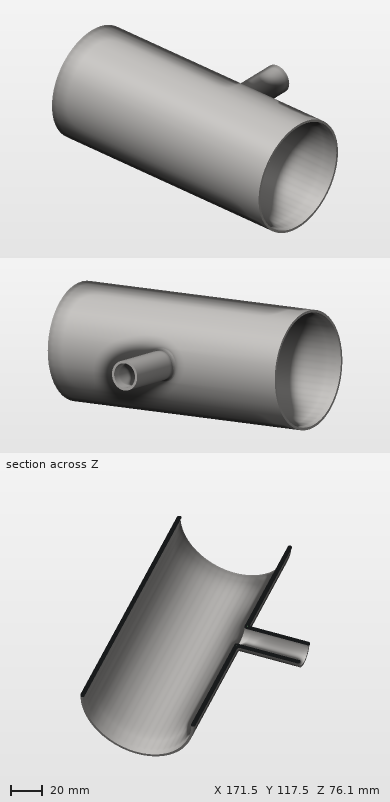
import cadquery as cq

run_length = 171.5
run_outer_diameter = 76.1
run_inner_diameter = 72.9

branch_outer_diameter = 19.0
branch_inner_diameter = 15.8
total_width = 117.5
branch_reach = total_width - run_outer_diameter / 2

weld_radius = 1.7


def run_cylinder(diameter):
    """Solid cylinder along X, centred on the origin."""
    return cq.Workplane("YZ").circle(diameter / 2).extrude(run_length / 2, both=True)


def branch_cylinder(diameter):
    """Solid cylinder from the main tube axis out to the branch end."""
    return cq.Workplane("XZ").circle(diameter / 2).extrude(-branch_reach)


half_branch = branch_outer_diameter / 2
joint_region = cq.selectors.BoxSelector(
    (-half_branch, run_inner_diameter / 2, -half_branch),
    (half_branch, run_outer_diameter / 2, half_branch),
)
outer_walls = run_cylinder(run_outer_diameter).union(branch_cylinder(branch_outer_diameter))
outer_walls = outer_walls.edges(joint_region).fillet(weld_radius)

result = outer_walls.cut(run_cylinder(run_inner_diameter)).cut(branch_cylinder(branch_inner_diameter))